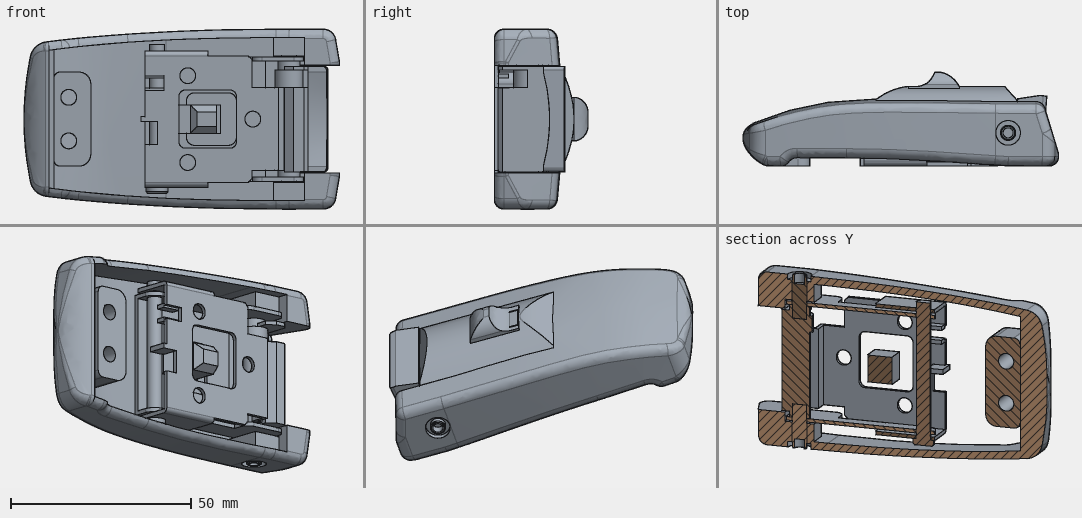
import cadquery as cq
LENGTH = 87.5
HALF_WIDTH = 24.9
TOP_Y = 18.6
CROWN_DROP = 1.7
WALL = 2.4
TOP_WALL = 1.9
EDGE_ROUND = 2.6
SKIRT_RISE = 2.3

NOSE_WALL_X = 8.3
NOSE_LIP_X = 6.9
CHEEK_X = 77.7
FORK_X = 76.1
FORK_HALF = 14.9

PIVOT = (73.5, 9.2)
ROD = (36.9, 9.1)
PIVOT_RADIUS = 2.1
ROD_RADIUS = 2.1

SHEET = 1.1
PLATE_X0 = 33.5
BASE_END_X = 70.5
BASE_HALF = 18.9
BRACKET_HALF = 17.2
BRACKET_TOP_Y = 13.4
BRACKET_END_X = 67.0

DEEP = 70.0


def block(x0, x1, y0, y1, z0, z1):
    """Box between the given limits."""
    return cq.Workplane("XY").box(x1 - x0, y1 - y0, z1 - z0, centered=False).translate((x0, y0, z0))


def cylinder_z(centre, radius, z0, z1):
    """Cylinder along Z between two heights."""
    return cq.Workplane("XY").workplane(offset=z0).center(*centre).circle(radius).extrude(z1 - z0)


def cylinder_y(x, z, radius, y0, y1):
    """Cylinder along Y between two heights."""
    return cq.Workplane("XZ", origin=(x, y0, z)).circle(radius).extrude(y0 - y1)


def prism_y(sketch, y0, y1):
    """Turn an XZ outline drawn on the plane y0 into a prism up to y1."""
    return sketch.extrude(y0 - y1)


def mirrored(body):
    """Body together with its mirror image on the -Z side."""
    return body.union(body.mirror("XY"))


BUMP_X = (36.9, 45.5, 72.55, 75.9)
BUMP_TOP_Y = 22.05
BUMP_HALF = 14.9
BUMP_EDGE_Y = 17.9
NOSE_CORNER_X = 2.6
NOSE_ROUND = 5.25
REAR_CORNER_ROUND = 3.5
COUNTERBORE = (3.4, 1.6)
POST_X = (46.1, 53.4)
POST_HALF = 3.9


def side_wire(z, drop):
    """Side outline of the handle with its top lowered by drop."""
    return (
        cq.Workplane("XY", origin=(0, 0, z))
        .moveTo(6.6, 0)
        .spline([(2.3, 3.0), (0, 7.4), (3.0, 12.0 - drop)], includeCurrent=True)
        .spline(
            [(13.1, 15.5 - drop), (23.6, 17.7 - drop), (39.4, TOP_Y - drop), (83.1, TOP_Y - 0.3 - drop)],
            tangents=[(2, 1), (1, 0)], includeCurrent=True,
        )
        .lineTo(LENGTH + 0.3, 2.6)
        .lineTo(LENGTH, 0)
        .close()
        .wires().val()
    )


def crowned_body():
    """Body bounded by the side outline, with a top that is crowned across Z."""
    wires = [
        side_wire(-HALF_WIDTH - 1.75, CROWN_DROP),
        side_wire(0, 0),
        side_wire(HALF_WIDTH + 1.75, CROWN_DROP),
    ]
    return cq.Workplane(obj=cq.Solid.makeLoft(wires))


def plan_outline():
    """Outline of the handle in the mounting plane, extruded over its full height."""
    sketch = (
        cq.Workplane("XZ")
        .moveTo(LENGTH, -15.75)
        .lineTo(85.9, -HALF_WIDTH)
        .lineTo(70, -HALF_WIDTH)
        .spline([(44.2, -24.4), (24.8, -23.3), (NOSE_CORNER_X, -20.9)],
                tangents=[(-1, 0), (-1, 0.15)], includeCurrent=True)
        .threePointArc((0, 0), (NOSE_CORNER_X, 20.9))
        .spline([(24.8, 23.3), (44.2, 24.4), (70, HALF_WIDTH)],
                tangents=[(1, 0.15), (1, 0)], includeCurrent=True)
        .lineTo(85.9, HALF_WIDTH)
        .lineTo(LENGTH, 15.75)
        .close()
    )
    outline = prism_y(sketch, 0, 26.25)
    nose_corners = cq.selectors.BoxSelector((1.75, -0.9, -26.25), (3.5, 27.1, 26.25))
    outline = outline.edges(nose_corners).edges("|Y").fillet(NOSE_ROUND)
    rear_corners = cq.selectors.BoxSelector((84.9, -0.9, -26.25), (86.6, 27.1, 26.25))
    return outline.edges(rear_corners).edges("|Y").fillet(REAR_CORNER_ROUND)


def cavity():
    """Hollow of the handle, open towards the mounting plane."""
    w = HALF_WIDTH - WALL
    floor_y = TOP_Y - CROWN_DROP - TOP_WALL
    sketch = (
        cq.Workplane("XZ")
        .moveTo(NOSE_LIP_X, -19.1)
        .spline([(24.8, -21.0), (44.2, -22.1), (64.9, -w)], includeCurrent=True)
        .lineTo(CHEEK_X, -w)
        .lineTo(CHEEK_X, w)
        .lineTo(64.9, w)
        .spline([(44.2, 22.1), (24.8, 21.0), (NOSE_LIP_X, 19.1)], includeCurrent=True)
        .close()
    )
    plan = prism_y(sketch, 0, 26.25)
    floor = (
        cq.Workplane("XY", origin=(0, 0, -w))
        .moveTo(NOSE_LIP_X, 0)
        .lineTo(NOSE_WALL_X, NOSE_WALL_X - NOSE_LIP_X)
        .lineTo(NOSE_WALL_X, 10.3)
        .spline([(13.1, 12.4), (23.6, 14.5), (39.4, floor_y)], includeCurrent=True)
        .lineTo(CHEEK_X, floor_y)
        .lineTo(CHEEK_X, 0)
        .close()
        .extrude(2 * w)
    )
    return plan.intersect(floor)


def bump():
    """Raised pad on the top, rounded across Z."""
    x0, x1, x2, x3 = BUMP_X
    base_y = TOP_Y - 3.5
    profile = (
        cq.Workplane("XY", origin=(0, 0, -BUMP_HALF))
        .moveTo(x0, base_y)
        .lineTo(x0, TOP_Y - 0.2)
        .threePointArc(((x0 + x1) / 2 - 0.3, BUMP_TOP_Y - 1.2), (x1, BUMP_TOP_Y))
        .lineTo(x2, BUMP_TOP_Y)
        .lineTo(x3, TOP_Y - 0.3)
        .lineTo(x3, base_y)
        .close()
        .extrude(2 * BUMP_HALF)
    )
    section = (
        cq.Workplane("YZ", origin=(x0, 0, 0))
        .moveTo(base_y, -BUMP_HALF)
        .lineTo(BUMP_EDGE_Y, -BUMP_HALF)
        .threePointArc((BUMP_TOP_Y, 0), (BUMP_EDGE_Y, BUMP_HALF))
        .lineTo(base_y, BUMP_HALF)
        .close()
        .extrude(x3 - x0)
    )
    return profile.intersect(section)


def skirt_relief():
    """Space below the lower edge of the side skirts."""
    return (
        cq.Workplane("XY", origin=(0, 0, -DEEP / 2))
        .moveTo(12.25, -0.9)
        .lineTo(12.25, 0)
        .threePointArc((13.3, 1.7), (15.3, SKIRT_RISE))
        .lineTo(28.9, 2.2)
        .spline([(52.5, 1.4), (73.5, 0)], tangents=[(1, 0), (1, -0.06)], includeCurrent=True)
        .lineTo(73.5, -0.9)
        .close()
        .extrude(DEEP)
    )


def make_handle():
    """Hollow handle with a rounded outside, a raised pad and two rear arms."""
    shell = crowned_body().intersect(plan_outline())
    shell = shell.cut(skirt_relief())
    shell = shell.edges().fillet(EDGE_ROUND)
    shell = shell.union(bump())
    shell = shell.cut(cavity())
    shell = shell.cut(block(FORK_X, LENGTH + 4.4, -0.9, DEEP, -FORK_HALF, FORK_HALF))
    rib = block(69.1, CHEEK_X, 3.5, TOP_Y - 3.5, 17.5, HALF_WIDTH - 0.9)
    shell = shell.union(mirrored(rib))
    bore_radius, bore_depth = COUNTERBORE
    shell = shell.cut(cylinder_z(PIVOT, PIVOT_RADIUS, -DEEP, DEEP))
    shell = shell.cut(mirrored(cylinder_z(PIVOT, bore_radius, HALF_WIDTH - bore_depth, DEEP)))
    return shell.cut(block(*POST_X, 0, DEEP, -POST_HALF, POST_HALF))


PAD_END_X = 18.55
PAD_HALF = 13.0
PAD_HOLES = [(12.4, -6.0), (12.4, 6.0)]
HOLE_RADIUS = 2.2


def make_pad():
    """Block behind the nose wall that reaches up to the floor of the cavity."""
    pad = block(NOSE_WALL_X, PAD_END_X, 0, TOP_Y, -PAD_HALF, PAD_HALF)
    pad = pad.edges("|Y and >X").fillet(3.3).edges("|Y and <X").fillet(1.75)
    pad = pad.intersect(cavity())
    for x, z in PAD_HOLES:
        pad = pad.cut(cylinder_y(x, z, HOLE_RADIUS, 0, DEEP))
    return pad


PLATE_HALF = 17.5
FLANGE_END_X = 51.0
FLANGE_TOP_Y = 12.25
NOTCH_X = 63.3
HOOK_Z = (-14.2, 8.75)
HOOK_TIP_X = 72.1
HOOK_TOP_Y = 5.25
BASE_WINDOW = (43.0, 58.9, 8.05)
BASE_HOLES = [(45.4, 12.03), (45.4, -12.03), (63.45, 0)]
STOP_TAB = (32.5, 37.0, 5.6, 0.7)
SIDE_NOTCH_END_X = 38.85
SIDE_TAB_TOP_Y = 3.85


def make_base_plate():
    """Sheet metal plate with two flanges, a hooked rear edge and bent tabs."""
    z0, z1 = HOOK_Z
    plate = block(PLATE_X0, NOTCH_X, 0, SHEET, -PLATE_HALF, PLATE_HALF).edges("|Y and >X").chamfer(1.05)
    plate = plate.union(block(NOTCH_X - 1.75, BASE_END_X, 0, SHEET, z0, z1))
    channel = block(PLATE_X0, FLANGE_END_X, 0, FLANGE_TOP_Y, -BASE_HALF, BASE_HALF)
    channel = channel.edges("|X and <Y").fillet(BASE_HALF - PLATE_HALF)
    inner = BASE_HALF - SHEET
    channel = channel.cut(block(PLATE_X0, FLANGE_END_X, SHEET, FLANGE_TOP_Y, -inner, inner))
    plate = plate.union(channel)
    plate = plate.union(block(BASE_END_X - SHEET, BASE_END_X, 0, HOOK_TOP_Y, z0, z1))
    plate = plate.union(block(BASE_END_X - SHEET, HOOK_TIP_X, HOOK_TOP_Y - SHEET, HOOK_TOP_Y, z0, z1))
    x0, x1, half = BASE_WINDOW
    plate = plate.cut(block(x0, x1, -0.9, SHEET, -half, half).edges("|Y").fillet(1.75))
    for x, z in BASE_HOLES:
        plate = plate.cut(cylinder_y(x, z, HOLE_RADIUS, 0, SHEET))
    tab_x0, tab_x1, tab_top, tab_half = STOP_TAB
    plate = plate.cut(block(PLATE_X0, tab_x1, 0, SHEET, -7.1, 0))
    plate = plate.union(block(tab_x0, tab_x1, 0, tab_top, -tab_half, tab_half))
    plate = plate.cut(block(PLATE_X0, SIDE_NOTCH_END_X, 0, SHEET, 8.0, 12.0))
    for tab_z in (7.4, 11.4):
        side_tab = block(PLATE_X0, SIDE_NOTCH_END_X, SHEET, SIDE_TAB_TOP_Y, tab_z, tab_z + SHEET)
        plate = plate.union(side_tab)
    return plate.cut(cylinder_z(ROD, ROD_RADIUS, -DEEP, DEEP))


BRACKET_WINDOW = (45.1, 58.9, 7.3)
LINK_X = (63.4, 77.45)
LINK_FOOT_Y = 0.4
EYE_RADIUS = ROD[0] - PLATE_X0


def make_bracket():
    """Channel above the base plate whose flanges link the rod to the lever pivot."""
    half = BRACKET_HALF
    under_plate = BRACKET_TOP_Y - SHEET
    bracket = block(PLATE_X0, BRACKET_END_X, under_plate, BRACKET_TOP_Y, -half, half)
    z0 = half - SHEET
    link_x0, link_x1 = LINK_X
    flange = cylinder_z(ROD, EYE_RADIUS, z0, half)
    flange = flange.union(block(PLATE_X0, ROD[0], ROD[1], BRACKET_TOP_Y, z0, half))
    flange = flange.union(block(ROD[0], link_x1, ROD[1] - EYE_RADIUS, BRACKET_TOP_Y, z0, half))
    link = block(link_x0, link_x1, LINK_FOOT_Y, BRACKET_TOP_Y, z0, half).edges("|Z and <Y").fillet(2.6)
    flange = flange.union(link)
    bracket = bracket.union(mirrored(flange))
    x0, x1, window_half = BRACKET_WINDOW
    bracket = bracket.cut(
        block(x0, x1, 0, DEEP, -window_half, window_half).edges("|Y").fillet(2.2)
    )
    bracket = bracket.cut(cylinder_z(ROD, ROD_RADIUS, -DEEP, DEEP))
    return bracket.cut(cylinder_z(PIVOT, PIVOT_RADIUS, -DEEP, DEEP))


ROD_END = 20.65
ROD_HEAD_RADIUS = 3.1


def make_rod():
    """Rod through both channels, with a bevelled head on the -Z end."""
    head = cylinder_z(ROD, ROD_HEAD_RADIUS, -ROD_END, -BASE_HALF).faces("<Z").chamfer(0.5)
    return cylinder_z(ROD, ROD_RADIUS, -ROD_END, ROD_END).union(head)


SCREW_TIP = 12.25
SCREW_HEAD = 25.0
SOCKET = (1.4, 2.6)


def make_screw(side):
    """Pivot screw on the +Z (side 1) or -Z (side -1) arm."""
    socket_radius, socket_depth = SOCKET
    screw = cylinder_z(PIVOT, PIVOT_RADIUS, SCREW_TIP, SCREW_HEAD).faces(">Z").chamfer(0.3)
    screw = screw.cut(cylinder_z(PIVOT, socket_radius, SCREW_HEAD - socket_depth, SCREW_HEAD))
    return screw if side > 0 else screw.mirror("XY")


LEVER_HALF = 14.6
LEVER_HUB_RADIUS = 3.1
LEVER_HUB_END = BRACKET_HALF - SHEET
LEVER_NOTCH_Z = (8.75, 13.6)
LEVER_NOTCH_HUB = 3.85
LEVER_FACE_X = 78.8
GRIP_UNDER_Y = 13.6
SCOOP_RADIUS = 49.9
SCOOP_DEPTH = 1.75


def make_lever():
    """Lever that hooks the base plate and ends in a scooped thumb grip."""
    lever = (
        cq.Workplane("XY", origin=(0, 0, -LEVER_HALF))
        .moveTo(72.3, 2.9)
        .lineTo(74.7, 1.05)
        .lineTo(77.6, 1.05)
        .lineTo(LEVER_FACE_X, 2.2)
        .lineTo(LEVER_FACE_X, GRIP_UNDER_Y)
        .lineTo(83.8, GRIP_UNDER_Y)
        .lineTo(84.3, 19.3)
        .lineTo(82.4, 19.6)
        .lineTo(FORK_X, 18.6)
        .lineTo(FORK_X, 14.4)
        .lineTo(72.3, 12.25)
        .close()
        .extrude(2 * LEVER_HALF)
    )
    lever = lever.faces(">Z or <Z").edges(">X").fillet(1.05)
    scoop = (
        cq.Workplane("YZ", origin=(LEVER_FACE_X, 0, 0))
        .center(GRIP_UNDER_Y + SCOOP_DEPTH - SCOOP_RADIUS, 0)
        .circle(SCOOP_RADIUS)
        .extrude(8.75)
    )
    lever = lever.cut(scoop)
    lever = lever.cut(block(70, LEVER_FACE_X, 0, PIVOT[1], *LEVER_NOTCH_Z))
    lever = lever.union(cylinder_z(PIVOT, LEVER_NOTCH_HUB, *LEVER_NOTCH_Z))
    lever = lever.union(cylinder_z(PIVOT, LEVER_HUB_RADIUS, -LEVER_HUB_END, LEVER_HUB_END))
    return lever.cut(mirrored(cylinder_z(PIVOT, PIVOT_RADIUS, SCREW_TIP, DEEP)))


KNOB_TOP_Y = 26.0
KNOB_HALF = 6.0
KNOB_SEAT_Y = 21.0
POST_TIP_Y = 1.3
TONGUE_X = (42.0, 54.5)


def make_button(housing):
    """Push button with a knob on the bump and a bevelled post through the handle."""
    profile = (
        cq.Workplane("XY", origin=(0, 0, -KNOB_HALF))
        .moveTo(45.85, KNOB_SEAT_Y)
        .lineTo(45.85, BUMP_TOP_Y)
        .spline([(49.4, 22.2), (51.1, 23.0), (53.2, KNOB_TOP_Y)],
                tangents=[(1, 0), (0.5, 1)], includeCurrent=True)
        .spline([(55.6, 25.8), (58.5, 24.1), (60.0, BUMP_TOP_Y)], includeCurrent=True)
        .lineTo(60.0, KNOB_SEAT_Y)
        .close()
        .extrude(2 * KNOB_HALF)
    )
    section = (
        cq.Workplane("YZ", origin=(43.75, 0, 0))
        .moveTo(KNOB_SEAT_Y, -KNOB_HALF)
        .lineTo(22.6, -KNOB_HALF)
        .threePointArc((24.85, -4.7), (KNOB_TOP_Y, -1.9))
        .lineTo(KNOB_TOP_Y, 1.9)
        .threePointArc((24.85, 4.7), (22.6, KNOB_HALF))
        .lineTo(KNOB_SEAT_Y, KNOB_HALF)
        .close()
        .extrude(17.5)
    )
    knob = profile.intersect(section).cut(housing)
    post = block(*POST_X, POST_TIP_Y, BUMP_TOP_Y, -POST_HALF, POST_HALF)
    post = post.faces("<Y").edges("<X or >Z or <Z").chamfer(1.9)
    plate_y = BRACKET_TOP_Y - SHEET
    tongue = block(*TONGUE_X, plate_y - SHEET, plate_y, -POST_HALF, POST_HALF)
    return knob.union(post).union(tongue)


handle = make_handle()
pad = make_pad()
base_plate = make_base_plate()
bracket = make_bracket()
rod = make_rod()
screws = [make_screw(side) for side in (1, -1)]
lever = make_lever()
button = make_button(handle)

result = cq.Compound.makeCompound([
    handle.val(),
    pad.val(),
    base_plate.val(),
    bracket.val(),
    rod.val(),
    *[screw.val() for screw in screws],
    lever.val(),
    button.val(),
])